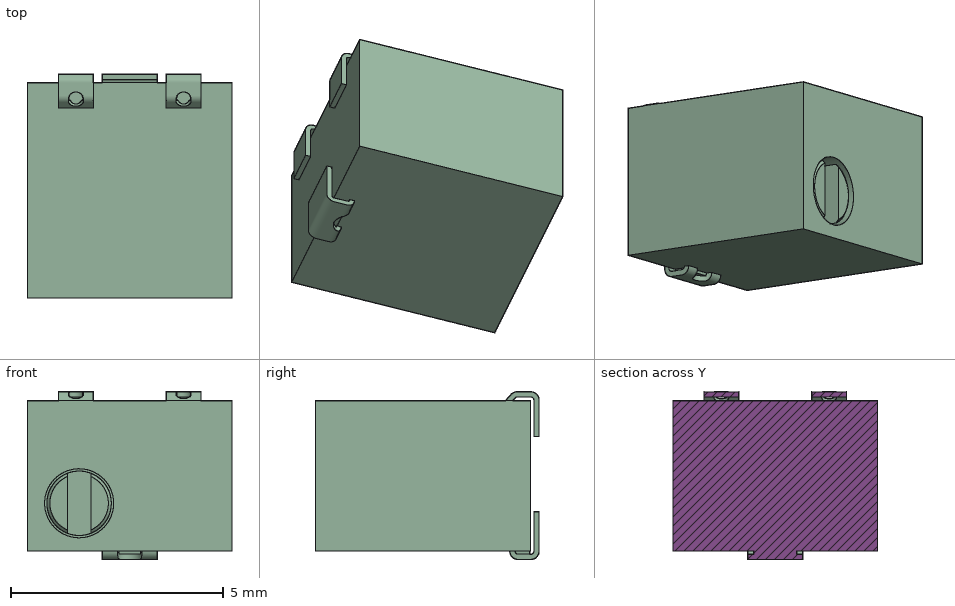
import cadquery as cq
import math

overall_depth = 5.28
overall_height = 3.96

strip_thickness = 0.127
bend_radius = 0.2
back_clearance = 0.2
foot_embed = 0.05

top_standoff = 0.21
top_terminal_width = 0.83
top_terminal_offset = 1.27
top_flat_length = 0.316
top_foot_angle = 48
top_leg_length = 0.85
top_hole_diameter = 0.36
top_hole_setback = 0.4

bottom_standoff = 0.2
bottom_terminal_width = 1.3
bottom_flat_length = 0.296
bottom_foot_angle = 90
bottom_leg_length = 0.93
bottom_notch_diameter = 0.57

pad_width = 1.02
pad_setback = 0.02
pad_front = 0.36

housing_width = 4.83
housing_depth = overall_depth - back_clearance
housing_height = overall_height - top_standoff - bottom_standoff
back_y = housing_depth / 2
front_y = -back_y

screw_x = -1.194
screw_z = 1.128
bore_diameter = 1.63
bore_depth = 1.0
screw_diameter = 1.52
screw_recess = 0.05
screw_chamfer = 0.07
slot_width = 0.55
slot_depth = 0.6


def make_housing():
    body = cq.Workplane("XY").box(
        housing_width, housing_depth, housing_height, centered=(True, True, False)
    )
    bore = front_cylinder(bore_diameter, 0, bore_depth)
    return body.cut(bore)


def front_cylinder(diameter, start_depth, end_depth):
    """Cylinder on the screw axis between two depths behind the front face."""
    return (
        cq.Workplane("XZ", origin=(screw_x, front_y + end_depth, screw_z))
        .circle(diameter / 2)
        .extrude(end_depth - start_depth)
    )


def make_screw():
    screw = front_cylinder(screw_diameter, screw_recess, bore_depth)
    screw = screw.faces("<Y").chamfer(screw_chamfer)
    slot = (
        cq.Workplane("XY", origin=(screw_x, front_y, screw_z))
        .box(slot_width, slot_depth, bore_diameter, centered=(True, False, True))
    )
    return screw.cut(slot)


def make_strip(width, standoff, flat_length, foot_angle, leg_length):
    """Bent strip on a face at Z = 0 whose back edge is Y = 0; the foot points to -Y."""
    angle = math.radians(foot_angle)
    inner_radius = bend_radius - strip_thickness
    bend_z = standoff - bend_radius
    leg_y = back_clearance - bend_radius
    foot_length = (bend_z + bend_radius * math.cos(angle) + foot_embed) / math.sin(angle)

    def back_bend(radius, turn):
        return (leg_y + radius * math.cos(turn), bend_z + radius * math.sin(turn))

    def front_bend(radius, turn):
        return (-flat_length - radius * math.sin(turn), bend_z + radius * math.cos(turn))

    def foot_end(radius):
        y, z = front_bend(radius, angle)
        return (y - foot_length * math.cos(angle), z - foot_length * math.sin(angle))

    outline = (
        cq.Workplane("YZ", origin=(-width / 2, 0, 0))
        .moveTo(leg_y + bend_radius, -leg_length)
        .lineTo(*back_bend(bend_radius, 0))
        .threePointArc(back_bend(bend_radius, math.pi / 4), back_bend(bend_radius, math.pi / 2))
        .lineTo(*front_bend(bend_radius, 0))
        .threePointArc(front_bend(bend_radius, angle / 2), front_bend(bend_radius, angle))
        .lineTo(*foot_end(bend_radius))
        .lineTo(*foot_end(inner_radius))
        .lineTo(*front_bend(inner_radius, angle))
        .threePointArc(front_bend(inner_radius, angle / 2), front_bend(inner_radius, 0))
        .lineTo(*back_bend(inner_radius, math.pi / 2))
        .threePointArc(back_bend(inner_radius, math.pi / 4), back_bend(inner_radius, 0))
        .lineTo(leg_y + inner_radius, -leg_length)
        .close()
    )
    return outline.extrude(width)


def make_top_terminal():
    strip = make_strip(
        top_terminal_width, top_standoff, top_flat_length, top_foot_angle, top_leg_length
    )
    hole_radius = top_hole_diameter / 2
    straight_hole = (
        cq.Workplane("XY", origin=(0, -top_hole_setback, 0))
        .circle(hole_radius)
        .extrude(top_standoff)
    )

    pivot_z = top_standoff - strip_thickness / 2
    pivot = (0, -top_hole_setback, pivot_z)
    leaning_hole = (
        cq.Workplane("XY", origin=pivot)
        .circle(hole_radius)
        .extrude(top_standoff, both=True)
        .rotate(pivot, (1, -top_hole_setback, pivot_z), top_foot_angle)
    )

    zone_size = 2 * top_terminal_width
    flat_zone = (
        cq.Workplane("XY", origin=(0, -top_flat_length, 0))
        .box(zone_size, zone_size, zone_size, centered=(True, False, True))
    )
    bend_zone = flat_zone.translate((0, -zone_size, 0))
    return strip.cut(straight_hole.intersect(flat_zone)).cut(leaning_hole.intersect(bend_zone))


def make_bottom_terminal():
    """Built upside down on a face at Z = 0, with its pad."""
    strip = make_strip(
        bottom_terminal_width, bottom_standoff, bottom_flat_length, bottom_foot_angle, bottom_leg_length
    )
    foot_front = bottom_flat_length + bend_radius
    notch = (
        cq.Workplane("XY", origin=(0, -foot_front, 0))
        .circle(bottom_notch_diameter / 2)
        .extrude(bottom_standoff)
    )
    pad = (
        cq.Workplane("XY", origin=(0, -pad_front, 0))
        .box(
            pad_width,
            pad_front - pad_setback,
            bottom_standoff - strip_thickness,
            centered=(True, False, False),
        )
    )
    return strip.cut(notch).union(pad)


result = make_housing().union(make_screw())
top_terminal = make_top_terminal()
for side in (-1, 1):
    place = (side * top_terminal_offset, back_y, housing_height)
    result = result.union(top_terminal.translate(place))
bottom_terminal = make_bottom_terminal().mirror("XY").translate((0, back_y, 0))
result = result.union(bottom_terminal)